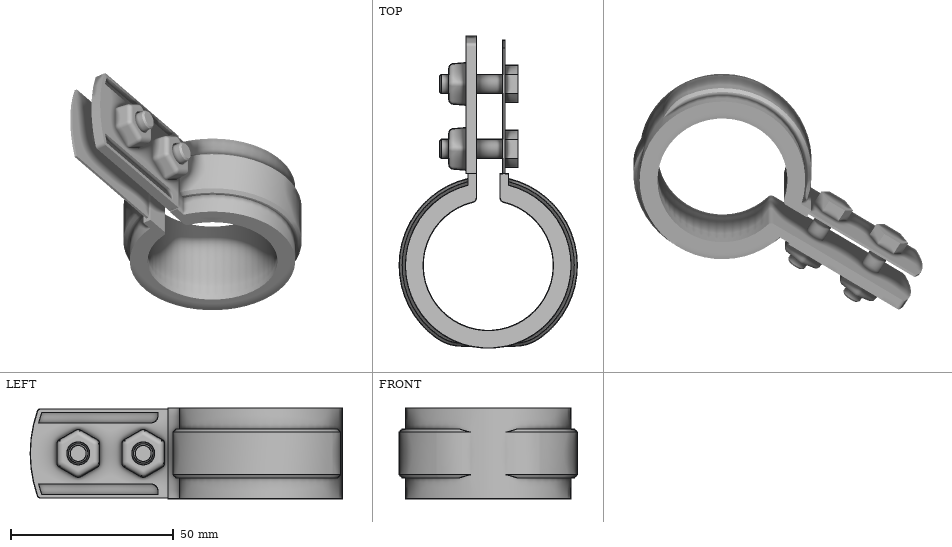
import cadquery as cq
import math

overall_length = 96.1

ring_height = 28.0
ring_diameter = 50.9
bore_diameter = 40.0
gap_width = 7.2
gap_edge_radius = 1.4
lug_thickness = 2.7
lug_end_y = 28.3

band_diameter = 54.9
band_height = 15.0
band_chamfer = 1.0
band_flat_y = -24.9
band_flat_blend = 13.5

flange_thickness = 3.3
flange_height = 27.5
flange_end_y = overall_length - ring_diameter / 2
flange_corner_radius = 1.2
flange_arc_radius = 39.4
strap_thickness = 0.8
strap_height = 25.6
strap_end_y = 69.4
strap_arc_radius = 34.6
flange_inner_x = -gap_width / 2
flange_outer_x = flange_inner_x - flange_thickness
strap_inner_x = 4.4
strap_outer_x = strap_inner_x + strap_thickness

pocket_depth = 1.4
pocket_inner_z = 9.4
pocket_outer_z = 12.6
pocket_start_y = 31.3
pocket_end_inset = 1.4
pocket_corner_radius = 2.1

bolt_spacing = 20.0
first_bolt_y = 35.8
bolt_positions = [first_bolt_y, first_bolt_y + bolt_spacing]
bolt_diameter = 6.0
bolt_tip_diameter = 4.9
bolt_tip_length = 0.6
bolt_tip_x = -15.0
head_thickness = 4.0
head_across_flats = 10.0
nut_height = 5.3
nut_across_flats = 13.2
nut_draft_angle = 5.0
nut_edge_radius = 1.5
nut_recess_diameter = 7.0
nut_recess_depth = 1.0


def cylinder_along_x(diameter, start_x, end_x, y):
    plane = cq.Workplane("YZ", origin=(start_x, y, 0))
    return plane.circle(diameter / 2).extrude(end_x - start_x)


def make_band():
    radius = band_diameter / 2
    band = cq.Workplane("XY").circle(radius).extrude(band_height / 2, both=True)
    front_waste = (
        cq.Workplane("XY")
        .box(band_diameter, radius, ring_height, centered=(True, False, True))
        .translate((0, band_flat_y - radius, 0))
    )
    band = band.cut(front_waste)
    band = band.edges("|Z").edges("<Y").fillet(band_flat_blend)
    return band.faces("|Z").edges().chamfer(band_chamfer)


def make_ring():
    ring = cq.Workplane("XY").circle(ring_diameter / 2).extrude(ring_height / 2, both=True)
    lugs_width = gap_width + 2 * lug_thickness
    lugs = cq.Workplane("XY").box(lugs_width, lug_end_y, ring_height, centered=(True, False, True))
    bore = cq.Workplane("XY").circle(bore_diameter / 2).extrude(ring_height / 2, both=True)
    gap = cq.Workplane("XY").box(gap_width, lug_end_y, ring_height, centered=(True, False, True))
    ring = ring.union(make_band()).union(lugs).cut(bore).cut(gap)

    edge_y = math.sqrt(bore_diameter**2 - gap_width**2) / 2
    for edge_x in (-gap_width / 2, gap_width / 2):
        edge_point = (edge_x, edge_y, 0)
        ring = ring.edges(cq.NearestToPointSelector(edge_point)).fillet(gap_edge_radius)
    return ring


def end_arc_y(end_y, z, radius):
    """Y of the bowed end at height z, for an arc that peaks at end_y."""
    return end_y - radius + math.sqrt(radius**2 - z**2)


def make_flange(inner_x, thickness, height, end_y, arc_radius):
    """Plate from the lug end to a bowed end, with holes for the bolts."""
    half_height = height / 2
    corner_y = end_arc_y(end_y, half_height, arc_radius)
    flange = (
        cq.Workplane("YZ", origin=(inner_x, 0, 0))
        .moveTo(lug_end_y, -half_height)
        .lineTo(corner_y, -half_height)
        .threePointArc((end_y, 0), (corner_y, half_height))
        .lineTo(lug_end_y, half_height)
        .close()
        .extrude(thickness)
    )
    for y in bolt_positions:
        flange = flange.cut(cylinder_along_x(bolt_diameter, inner_x, inner_x + thickness, y))
    return flange


def make_pocket():
    """Pocket at the +Z edge, its far end parallel to the bowed end of the flange."""
    peak_y = flange_end_y - pocket_end_inset
    radius = flange_arc_radius - pocket_end_inset
    middle_z = (pocket_inner_z + pocket_outer_z) / 2
    arc_points = [(end_arc_y(peak_y, z, radius), z) for z in (pocket_inner_z, middle_z, pocket_outer_z)]
    pocket = (
        cq.Workplane("YZ", origin=(flange_outer_x, 0, 0))
        .moveTo(pocket_start_y, pocket_inner_z)
        .lineTo(*arc_points[0])
        .threePointArc(arc_points[1], arc_points[2])
        .lineTo(pocket_start_y, pocket_outer_z)
        .close()
        .extrude(pocket_depth)
    )
    return pocket.edges("|X").edges("<Y").edges("<Z").fillet(pocket_corner_radius)


def make_thick_flange():
    flange = make_flange(flange_outer_x, flange_thickness, flange_height, flange_end_y, flange_arc_radius)
    flange = flange.edges("|X").edges(">Y").fillet(flange_corner_radius)
    pocket = make_pocket()
    return flange.cut(pocket).cut(pocket.mirror("XY"))


def make_strap():
    return make_flange(strap_inner_x, strap_thickness, strap_height, strap_end_y, strap_arc_radius)


def make_bolt(y):
    shank = cylinder_along_x(bolt_diameter, bolt_tip_x, strap_outer_x, y)
    tip_step = (bolt_diameter - bolt_tip_diameter) / 2
    shank = shank.faces("<X").chamfer(bolt_tip_length, tip_step)
    head_plane = cq.Plane(origin=(strap_outer_x, y, 0), xDir=(0, 0, 1), normal=(1, 0, 0))
    head = (
        cq.Workplane(head_plane)
        .polygon(6, head_across_flats, circumscribed=True)
        .extrude(head_thickness)
    )
    return shank.union(head)


def make_nut(y):
    nut_plane = cq.Plane(origin=(flange_outer_x, y, 0), xDir=(0, 1, 0), normal=(-1, 0, 0))
    nut = (
        cq.Workplane(nut_plane)
        .polygon(6, nut_across_flats, circumscribed=True)
        .extrude(nut_height, taper=nut_draft_angle)
    )
    nut = nut.edges("not >X").fillet(nut_edge_radius)
    face_x = flange_outer_x - nut_height
    bore = cylinder_along_x(bolt_diameter, face_x, flange_outer_x, y)
    recess = cylinder_along_x(nut_recess_diameter, face_x, face_x + nut_recess_depth, y)
    return nut.cut(bore).cut(recess)


ring = make_ring()
thick_flange = make_thick_flange()
strap = make_strap()
bolts = [make_bolt(y) for y in bolt_positions]
nuts = [make_nut(y) for y in bolt_positions]

result = cq.Compound.makeCompound(
    [ring.val(), thick_flange.val(), strap.val()]
    + [bolt.val() for bolt in bolts]
    + [nut.val() for nut in nuts]
)